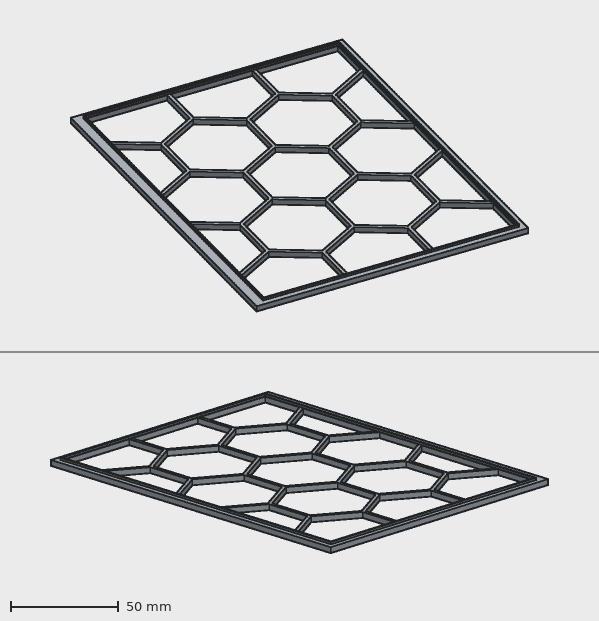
import cadquery as cq
import math

length = 183.5
width = 143.0
base_height = 3.0
total_height = 4.0

side_margin = 3.0
back_margin = 3.1
front_margin = 5.0
lip_thickness = 0.7
ledge_width = 0.4

grid_center_y = 0.5
cell_pitch = 45.0
bar_width = 2.0
column_offsets = range(-2, 3)
row_offsets = range(-2, 3)

lip_length = length - 2 * side_margin
lip_width = width - front_margin - back_margin
opening_length = lip_length - 2 * lip_thickness
opening_width = lip_width - 2 * lip_thickness
clear_length = opening_length - 2 * ledge_width
clear_width = opening_width - 2 * ledge_width
opening_center_y = (front_margin - back_margin) / 2
cell_radius = cell_pitch / math.sqrt(3)
column_pitch = 1.5 * cell_radius
hole_diameter = 2 * (cell_radius - bar_width / math.sqrt(3))


def block(size_x, size_y, height, center_y=0):
    """Rectangular block standing on the base plane."""
    return cq.Workplane("XY").center(0, center_y).rect(size_x, size_y).extrude(height)


def cell_centers():
    """Staggered cell centres, with one cell at the grid centre."""
    centers = []
    for column in column_offsets:
        stagger = cell_pitch / 2 if column % 2 else 0
        for row in row_offsets:
            centers.append((column * column_pitch, grid_center_y + row * cell_pitch + stagger))
    return centers


def make_frame():
    """Border and raised lip around the opening, with a narrow ledge level with the bars."""
    border = block(length, width, base_height)
    lip = block(lip_length, lip_width, total_height, opening_center_y)
    recess = block(opening_length, opening_width, total_height, opening_center_y).translate((0, 0, base_height))
    opening = block(clear_length, clear_width, total_height, opening_center_y)
    return border.union(lip).cut(recess).cut(opening)


def make_honeycomb():
    """Bars left between hexagonal holes, reaching into the ledge at the ends."""
    panel = block(opening_length, opening_width, base_height, opening_center_y)
    holes = (
        cq.Workplane("XY")
        .pushPoints(cell_centers())
        .polygon(6, hole_diameter)
        .extrude(base_height)
    )
    return panel.cut(holes)


result = make_frame().union(make_honeycomb())